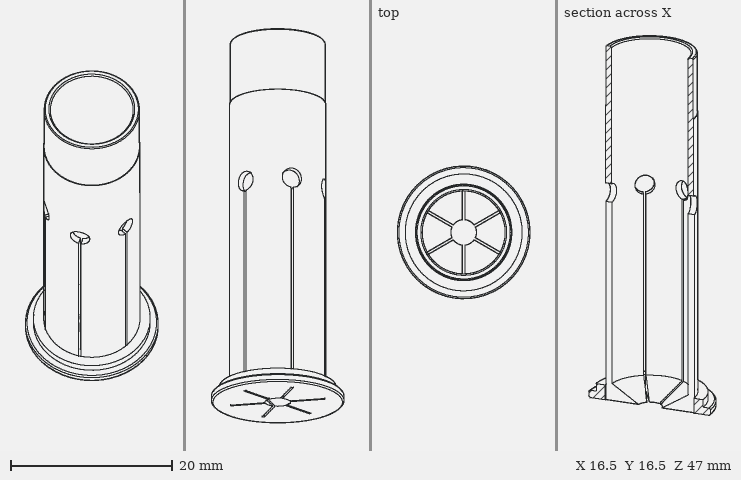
import cadquery as cq

total_height = 47.0
tube_radius = 12.0 / 2
neck_radius = 11.85 / 2
neck_length = 8.0
bore_radius = 10.3 / 2
outer_rim_chamfer = 0.15
inner_rim_chamfer = 0.2

flange_radius = 16.5 / 2
flange_height = 1.05
flange_chamfer = 0.2
collar_radius = 14.5 / 2
collar_top = 2.0

throat_radius = 3.15 / 2
funnel_height = 2.25

slit_count = 6
slit_width = 0.3
relief_radius = 2.5 / 2
relief_height = 27.5


def cylinder(radius, height):
    return cq.Workplane("XY").circle(radius).extrude(height)


def make_flange():
    disc = cylinder(flange_radius, flange_height).edges().chamfer(flange_chamfer)
    return disc.union(cylinder(collar_radius, collar_top))


def make_tube():
    body = cylinder(tube_radius, total_height - neck_length)
    neck = cylinder(neck_radius, total_height).faces(">Z").chamfer(outer_rim_chamfer)
    return body.union(neck)


def make_bore():
    profile = (
        cq.Workplane("XZ")
        .lineTo(throat_radius, 0)
        .lineTo(bore_radius, funnel_height)
        .lineTo(bore_radius, total_height - inner_rim_chamfer)
        .lineTo(bore_radius + inner_rim_chamfer, total_height)
        .lineTo(0, total_height)
        .close()
    )
    return profile.revolve(360, (0, 0, 0), (0, 1, 0))


def make_slit_pair():
    """Cutter along X for two opposite slits and the relief holes at their upper ends."""
    slit = cq.Workplane("XY").box(
        2 * tube_radius, slit_width, relief_height, centered=(True, True, False)
    )
    relief = (
        cq.Workplane("YZ")
        .center(0, relief_height)
        .circle(relief_radius)
        .extrude(tube_radius, both=True)
    )
    return slit.union(relief).intersect(cylinder(tube_radius, total_height))


result = make_flange().union(make_tube()).cut(make_bore())

slit_pair = make_slit_pair()
for index in range(slit_count // 2):
    angle = 90 + index * 360 / slit_count
    result = result.cut(slit_pair.rotate((0, 0, 0), (0, 0, 1), angle))